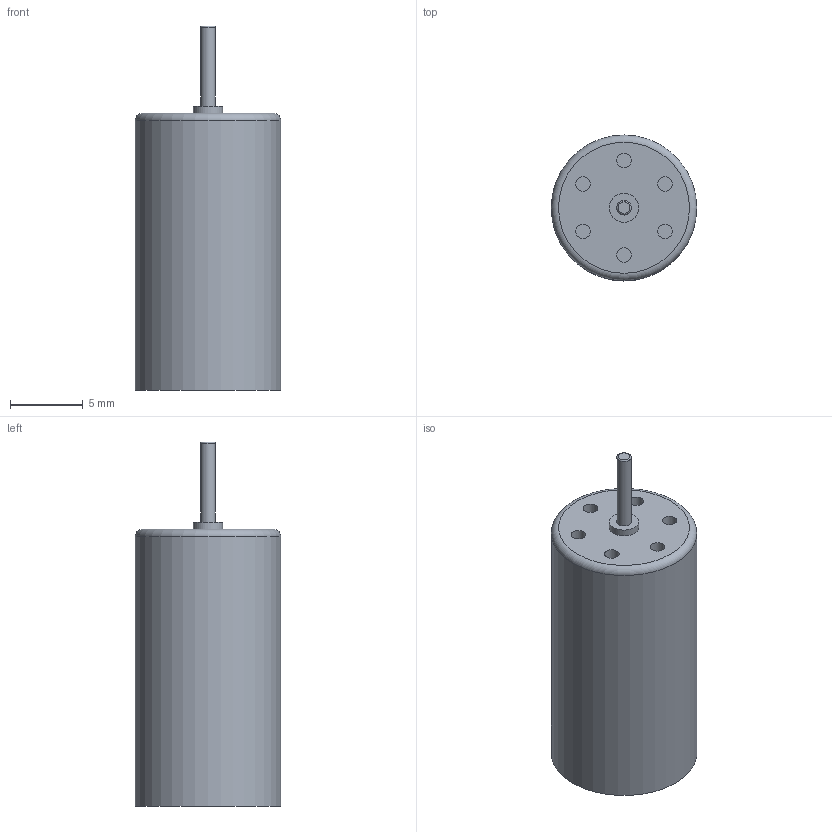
import cadquery as cq

body_diameter = 10.0
body_height = 19.0
rim_radius = 0.5

boss_diameter = 2.0
boss_height = 0.5

shaft_diameter = 1.0
overall_height = 25.0
shaft_tip_radius = 0.1

hole_count = 6
hole_diameter = 1.0
hole_depth = 1.0
hole_circle_radius = 3.25
first_hole_angle = 90.0


def make_body():
    """Plain cylinder with a rounded upper rim."""
    body = cq.Workplane("XY").circle(body_diameter / 2).extrude(body_height)
    return body.faces(">Z").edges().fillet(rim_radius)


def make_boss():
    """Short bearing boss standing on the top face."""
    top_plane = cq.Workplane("XY").workplane(offset=body_height)
    return top_plane.circle(boss_diameter / 2).extrude(boss_height)


def make_shaft():
    """Slim shaft with a slightly rounded tip."""
    shaft_length = overall_height - body_height
    top_plane = cq.Workplane("XY").workplane(offset=body_height)
    shaft = top_plane.circle(shaft_diameter / 2).extrude(shaft_length)
    return shaft.faces(">Z").edges().fillet(shaft_tip_radius)


def make_holes():
    """Cutters for the ring of blind holes, reaching down from the top face."""
    top_plane = cq.Workplane("XY").workplane(offset=body_height)
    centres = top_plane.polarArray(hole_circle_radius, first_hole_angle, 360, hole_count)
    return centres.circle(hole_diameter / 2).extrude(-hole_depth)


result = make_body().cut(make_holes()).union(make_boss()).union(make_shaft())